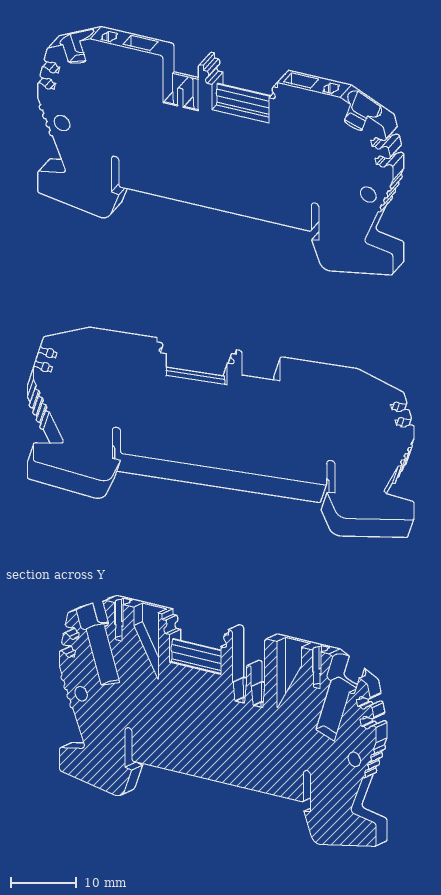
import cadquery as cq
import math

LENGTH = 59.5
THICKNESS = 4.1
HEIGHT = 31.2
HALF = LENGTH / 2
FRONT_Y = -THICKNESS / 2

TOP_HALF_LENGTH = 20.95
SHOULDER_ANGLE = 25.5
END_FACE_TILT = 13.2
END_FACE_BOTTOM_Z = 21.0
SHOULDER_CORNER_Z = 27.8
SHOULDER_FILLET = 0.7

WAIST_TOP_Z = 18.6
WAIST_X = 24.9
WAIST_Z = 6.5
WAIST_FILLET = 0.6

FOOT_ANGLE = 10.0
FOOT_NOSE_RADIUS = 1.8
FOOT_END_FILLET = 0.5
HOOK_ANGLE = 20.0
HOOK_TIP_X = 16.1
HOOK_TIP_Z = 4.75
HOOK_ROOT_Z = 5.0
BASE_Z = 6.2
BASE_FILLET = 0.4
SLIT_OUTER_X = 17.4
SLIT_INNER_X = 16.1
SLIT_TOP_Z = 11.4

RIDGE_COUNT = 4
RIDGE_FIRST_Z = 17.0
RIDGE_PITCH = 1.35
RIDGE_RADIUS = 0.5
RIDGE_INSET = 0.1

NOTCH_FIRST_Z = 24.95
NOTCH_PITCH = 3.05
NOTCH_COUNT = 2
NOTCH_MOUTH = 0.85
NOTCH_NECK = 0.55
NOTCH_NECK_DEPTH = 0.6
NOTCH_BULGE = 0.95
NOTCH_BULGE_DEPTH = 1.7
NOTCH_BULGE_HALF_LENGTH = 0.5
NOTCH_BULGE_STEP = 0.2
NOTCH_LIP_DEPTH = 0.2
NOTCH_LIP_RISE = 0.05
NOTCH_DEPTH = 2.75
NOTCH_OVERRUN = 0.6

WELL_LEFT_X = -8.75
WELL_RIGHT_X = -2.85
WELL_FLOOR_Z = 22.9
WELL_WALL_TOP_Z = 26.2
WELL_BACK_Y = 1.5
WELL_RIB_X = -5.85
WELL_RIB_WIDTH = 0.95
WELL_RIB_FILLET = 0.35
WELL_EDGE_FILLET = 0.55
CELL_FRONT_Y = -1.7
CELL_SIDE_MARGIN = 0.05
CELL_DEPTH = 3.0
CELL_DRAFT = 6.0
CELL_HOLE_LENGTH = 1.4
CELL_HOLE_WIDTH = 1.8
CELL_HOLE_Y = -0.1
CELL_HOLE_DEPTH = 1.8

CHANNEL_CENTER_X = 4.2
CHANNEL_HALF_FLOOR = 4.75
CHANNEL_FLOOR_Z = 23.7
CHANNEL_LEDGE_Z = 28.15
CHANNEL_STEP_Z = 30.3
BEAD_HEIGHT = 1.15
CHANNEL_HALF_TOP = 6.2
CHANNEL_HALF_LIP = 5.55
CHANNEL_HALF_CREST = 5.3
CHANNEL_HALF_GROOVE = 5.85
BLADE_TOP_Z = 27.2
BLADE_HEAD_TOP_Z = 26.35
BLADE_HEAD_Z = 25.8
BLADE_NECK_TOP_Z = 25.15
BLADE_FOOT_Z = 24.05
BLADE_HALF_TIP = 0.1
BLADE_HALF_NECK = 0.25
BLADE_HALF_HEAD = 0.5

ENTRY_AXIS_TILT = 18.5
ENTRY_CENTER_X = 24.1
ENTRY_HALF_LENGTH = 2.85
ENTRY_HALF_WIDTH = 2.45
ENTRY_BACK_Y = 1.65
ENTRY_DEPTH = 3.5
ENTRY_FLOOR_FILLET = 0.6
ENTRY_HOLE_LENGTH = 3.7
ENTRY_HOLE_WIDTH = 2.25
ENTRY_HOLE_Y = -0.2
ENTRY_HOLE_DEPTH = 8.9
ENTRY_HOLE_FILLET = 0.35
ENTRY_CLEARANCE = 3.0

TEST_HOLE_X = 18.55
TEST_HOLE_Y = -0.2
TEST_HOLE_DIAMETER = 2.2
TEST_SLOT_LENGTH = 1.55
TEST_SLOT_WIDTH = 2.7
TEST_HOLE_DEPTH = 5.95
TEST_SLOT_DEPTH = 3.55
LEVER_X = 13.45
LEVER_Y = 0.05
LEVER_LENGTH = 4.5
LEVER_WIDTH = 2.9
LEVER_WALL_DEPTH = 3.0
LEVER_DEPTH = 10.7

SIDE_HOLE_X = 25.65
SIDE_HOLE_Z = 15.1
SIDE_HOLE_MOUTH_DIAMETER = 2.6
SIDE_HOLE_END_DIAMETER = 2.2
SIDE_HOLE_DEPTH = 3.0


def tan(degrees):
    return math.tan(math.radians(degrees))


def sin(degrees):
    return math.sin(math.radians(degrees))


def cos(degrees):
    return math.cos(math.radians(degrees))


def both_ends(left_feature):
    """Add the mirror image of a left-end feature at the right end."""
    return left_feature.union(left_feature.mirror("YZ"))


def through_plate(outline):
    """Extrude a closed XZ outline over the whole plate thickness."""
    return outline.extrude(THICKNESS / 2, both=True)


def box(x_range, y_range, z_range):
    """Box between the given limits along each axis."""
    size = [high - low for low, high in (x_range, y_range, z_range)]
    corner = (x_range[0], y_range[0], z_range[0])
    return cq.Workplane("XY").box(*size, centered=False).translate(corner)


def fillet_at(body, x, z, radius):
    """Round the edge across the thickness that lies nearest to (x, z)."""
    corner = cq.selectors.NearestToPointSelector((x, 0, z))
    return body.edges("|Y").edges(corner).fillet(radius)


def end_face_x(z):
    """X of the tilted left end face at height z."""
    return -HALF + (z - END_FACE_BOTTOM_Z) * tan(END_FACE_TILT)


def shoulder_z(x):
    """Height of the sloping left shoulder at x."""
    return HEIGHT + (x + TOP_HALF_LENGTH) * tan(SHOULDER_ANGLE)


def waist_x(z):
    """X of the sloping left waist at height z."""
    slope = (HALF - WAIST_X) / (WAIST_TOP_Z - WAIST_Z)
    return -HALF + (WAIST_TOP_Z - z) * slope


def half_plate():
    radius = FOOT_NOSE_RADIUS
    flank_z = radius * (1 - sin(HOOK_ANGLE))
    flank_x = -HOOK_TIP_X - (HOOK_TIP_Z - flank_z) * tan(HOOK_ANGLE)
    nose_x = flank_x - radius * cos(HOOK_ANGLE)
    sole_x = nose_x - radius * sin(FOOT_ANGLE)
    sole_z = radius * (1 - cos(FOOT_ANGLE))
    foot_bottom_z = sole_z + (sole_x + HALF) * tan(FOOT_ANGLE)
    foot_top_z = WAIST_Z - (HALF - WAIST_X) * tan(FOOT_ANGLE)
    shoulder_x = end_face_x(SHOULDER_CORNER_Z)
    slit_radius = (SLIT_OUTER_X - SLIT_INNER_X) / 2
    slit_x = -(SLIT_OUTER_X + SLIT_INNER_X) / 2

    outline = (
        cq.Workplane("XZ")
        .moveTo(0, HEIGHT)
        .lineTo(-TOP_HALF_LENGTH, HEIGHT)
        .lineTo(shoulder_x, shoulder_z(shoulder_x))
        .lineTo(-HALF, END_FACE_BOTTOM_Z)
        .lineTo(-HALF, WAIST_TOP_Z)
        .lineTo(-WAIST_X, WAIST_Z)
        .lineTo(-HALF, foot_top_z)
        .lineTo(-HALF, foot_bottom_z)
        .lineTo(sole_x, sole_z)
        .threePointArc((nose_x, 0), (flank_x, flank_z))
        .lineTo(-HOOK_TIP_X, HOOK_TIP_Z)
        .lineTo(-SLIT_OUTER_X, HOOK_ROOT_Z)
        .lineTo(-SLIT_OUTER_X, SLIT_TOP_Z - slit_radius)
        .threePointArc((slit_x, SLIT_TOP_Z), (-SLIT_INNER_X, SLIT_TOP_Z - slit_radius))
        .lineTo(-SLIT_INNER_X, BASE_Z)
        .lineTo(0, BASE_Z)
        .close()
    )
    body = through_plate(outline)
    body = fillet_at(body, shoulder_x, SHOULDER_CORNER_Z, SHOULDER_FILLET)
    body = fillet_at(body, -WAIST_X, WAIST_Z, WAIST_FILLET)
    body = fillet_at(body, -HALF, foot_top_z, FOOT_END_FILLET)
    body = fillet_at(body, -HALF, foot_bottom_z, FOOT_END_FILLET)
    return fillet_at(body, -SLIT_INNER_X, BASE_Z, BASE_FILLET)


def ridges():
    heights = [RIDGE_FIRST_Z - i * RIDGE_PITCH for i in range(RIDGE_COUNT)]
    centers = [(waist_x(z) + RIDGE_INSET, z) for z in heights]
    return through_plate(cq.Workplane("XZ").pushPoints(centers).circle(RIDGE_RADIUS))


def notch():
    """Waisted slot running inward along +X from a mouth at the origin."""
    bulge_start = NOTCH_BULGE_DEPTH - NOTCH_BULGE_HALF_LENGTH
    bulge_end = NOTCH_BULGE_DEPTH + NOTCH_BULGE_HALF_LENGTH
    lip_middle = (NOTCH_LIP_DEPTH, NOTCH_NECK + NOTCH_LIP_RISE)
    upper_half = (
        cq.Workplane("XZ")
        .moveTo(-NOTCH_OVERRUN, 0)
        .lineTo(-NOTCH_OVERRUN, NOTCH_MOUTH)
        .lineTo(0, NOTCH_MOUTH)
        .threePointArc(lip_middle, (NOTCH_NECK_DEPTH, NOTCH_NECK))
        .lineTo(bulge_start, NOTCH_NECK + NOTCH_BULGE_STEP)
        .threePointArc((NOTCH_BULGE_DEPTH, NOTCH_BULGE), (bulge_end, NOTCH_NECK))
        .lineTo(NOTCH_DEPTH, NOTCH_NECK)
        .lineTo(NOTCH_DEPTH, 0)
        .close()
    )
    upper_half = through_plate(upper_half)
    return upper_half.union(upper_half.mirror("XY"))


def notches():
    tilted = notch().rotate((0, 0, 0), (0, 1, 0), END_FACE_TILT)
    cutters = cq.Workplane("XZ")
    for i in range(NOTCH_COUNT):
        z = NOTCH_FIRST_Z - i * NOTCH_PITCH
        cutters = cutters.union(tilted.translate((end_face_x(z), 0, z)))
    return cutters


def well():
    """Open well with a rear wall and a round-topped rib left standing in it."""
    y_range = (FRONT_Y, THICKNESS / 2)
    opening = box((WELL_LEFT_X, WELL_RIGHT_X), y_range, (WELL_FLOOR_Z, HEIGHT))
    rear_wall = box(
        (WELL_LEFT_X, WELL_RIGHT_X),
        (WELL_BACK_Y, THICKNESS / 2),
        (WELL_FLOOR_Z, WELL_WALL_TOP_Z),
    )
    half_rib = WELL_RIB_WIDTH / 2
    rib = box(
        (WELL_RIB_X - half_rib, WELL_RIB_X + half_rib),
        y_range,
        (WELL_FLOOR_Z, WELL_WALL_TOP_Z),
    )
    rib = rib.edges("|Y and >Z").fillet(WELL_RIB_FILLET)
    return opening.cut(rear_wall).cut(rib)


def cells():
    """Drafted pits in the well floor, each with a smaller hole in its bottom."""
    cell_length = (WELL_RIGHT_X - WELL_LEFT_X - WELL_RIB_WIDTH) / 2 - 2 * CELL_SIDE_MARGIN
    cell_width = WELL_BACK_Y - CELL_FRONT_Y
    cell_y = (WELL_BACK_Y + CELL_FRONT_Y) / 2
    spacing = (WELL_RIGHT_X - WELL_LEFT_X + WELL_RIB_WIDTH) / 4
    cutters = cq.Workplane("XY")
    for side in (-1, 1):
        x = WELL_RIB_X + side * spacing
        pit = (
            cq.Workplane("XY", origin=(x, cell_y, WELL_FLOOR_Z))
            .rect(cell_length, cell_width)
            .extrude(-CELL_DEPTH, taper=CELL_DRAFT)
        )
        hole = (
            cq.Workplane("XY", origin=(x, CELL_HOLE_Y, WELL_FLOOR_Z))
            .rect(CELL_HOLE_LENGTH, CELL_HOLE_WIDTH)
            .extrude(-CELL_DEPTH - CELL_HOLE_DEPTH)
        )
        cutters = cutters.union(pit).union(hole)
    return cutters


def channel():
    """Channel whose two side walls carry a snap bead above a groove."""
    crest_z = CHANNEL_STEP_Z - BEAD_HEIGHT / 2
    bead_end_z = CHANNEL_STEP_Z - BEAD_HEIGHT
    groove_z = (CHANNEL_LEDGE_Z + bead_end_z) / 2
    half = (
        cq.Workplane("XZ", origin=(CHANNEL_CENTER_X, 0, 0))
        .moveTo(0, CHANNEL_FLOOR_Z)
        .lineTo(-CHANNEL_HALF_FLOOR, CHANNEL_FLOOR_Z)
        .lineTo(-CHANNEL_HALF_FLOOR, CHANNEL_LEDGE_Z)
        .lineTo(-CHANNEL_HALF_LIP, CHANNEL_LEDGE_Z)
        .threePointArc((-CHANNEL_HALF_GROOVE, groove_z), (-CHANNEL_HALF_LIP, bead_end_z))
        .threePointArc((-CHANNEL_HALF_CREST, crest_z), (-CHANNEL_HALF_LIP, CHANNEL_STEP_Z))
        .lineTo(-CHANNEL_HALF_TOP, CHANNEL_STEP_Z)
        .lineTo(-CHANNEL_HALF_TOP, HEIGHT)
        .lineTo(0, HEIGHT)
        .close()
    )
    half = through_plate(half)
    return half.union(half.mirror("YZ", (CHANNEL_CENTER_X, 0, 0)))


def blade():
    """Bead-headed blade standing on the channel floor, running along X."""
    profile = (
        cq.Workplane("YZ", origin=(CHANNEL_CENTER_X, 0, 0))
        .moveTo(0, CHANNEL_FLOOR_Z)
        .lineTo(BLADE_HALF_HEAD, CHANNEL_FLOOR_Z)
        .lineTo(BLADE_HALF_NECK, BLADE_FOOT_Z)
        .lineTo(BLADE_HALF_NECK, BLADE_NECK_TOP_Z)
        .threePointArc((BLADE_HALF_HEAD, BLADE_HEAD_Z), (BLADE_HALF_NECK, BLADE_HEAD_TOP_Z))
        .lineTo(BLADE_HALF_TIP, BLADE_TOP_Z)
        .lineTo(0, BLADE_TOP_Z)
        .close()
    )
    half = profile.extrude(CHANNEL_HALF_FLOOR, both=True)
    return half.union(half.mirror("XZ"))


def wire_entry():
    """Tilted oval pocket that breaks out through the front face."""
    back_limit = box(
        (-2 * ENTRY_HALF_LENGTH, 2 * ENTRY_HALF_LENGTH),
        (-2 * ENTRY_HALF_WIDTH, ENTRY_BACK_Y),
        (-ENTRY_DEPTH, ENTRY_CLEARANCE),
    )
    pocket = (
        cq.Workplane("XY", origin=(0, 0, -ENTRY_DEPTH))
        .ellipse(ENTRY_HALF_LENGTH, ENTRY_HALF_WIDTH)
        .extrude(ENTRY_DEPTH + ENTRY_CLEARANCE)
        .faces("<Z")
        .edges()
        .fillet(ENTRY_FLOOR_FILLET)
        .intersect(back_limit)
    )
    hole = (
        cq.Workplane("XY", origin=(0, ENTRY_HOLE_Y, 0))
        .rect(ENTRY_HOLE_LENGTH, ENTRY_HOLE_WIDTH)
        .extrude(-ENTRY_DEPTH - ENTRY_HOLE_DEPTH)
        .edges("|Z")
        .fillet(ENTRY_HOLE_FILLET)
    )
    cutter = pocket.union(hole).rotate((0, 0, 0), (0, 1, 0), -ENTRY_AXIS_TILT)
    return cutter.translate((-ENTRY_CENTER_X, 0, shoulder_z(-ENTRY_CENTER_X)))


def test_hole():
    """Round hole crossed by a shallower slot across the plate."""
    top = cq.Workplane("XY", origin=(-TEST_HOLE_X, TEST_HOLE_Y, HEIGHT))
    hole = top.circle(TEST_HOLE_DIAMETER / 2).extrude(-TEST_HOLE_DEPTH)
    slot = top.rect(TEST_SLOT_LENGTH, TEST_SLOT_WIDTH).extrude(-TEST_SLOT_DEPTH)
    return hole.union(slot)


def lever_pocket():
    """Pocket with a sloping floor, deepest on the side toward the plate centre."""
    half_length = LEVER_LENGTH / 2
    return (
        cq.Workplane("XZ", origin=(-LEVER_X, LEVER_Y, HEIGHT))
        .moveTo(-half_length, 0)
        .lineTo(half_length, 0)
        .lineTo(half_length, -LEVER_DEPTH)
        .lineTo(-half_length, -LEVER_WALL_DEPTH)
        .close()
        .extrude(LEVER_WIDTH / 2, both=True)
    )


def side_hole():
    """Blind hole in the front face, narrowing with depth."""
    return (
        cq.Workplane("XZ", origin=(-SIDE_HOLE_X, FRONT_Y, SIDE_HOLE_Z))
        .circle(SIDE_HOLE_MOUTH_DIAMETER / 2)
        .workplane(offset=-SIDE_HOLE_DEPTH)
        .circle(SIDE_HOLE_END_DIAMETER / 2)
        .loft(combine=True)
    )


left_end = half_plate().union(ridges()).cut(notches())
for opening in (wire_entry(), test_hole(), lever_pocket(), side_hole()):
    left_end = left_end.cut(opening)

result = both_ends(left_end)
result = result.cut(well()).cut(channel())
for edge_x in (WELL_LEFT_X, WELL_RIGHT_X):
    result = fillet_at(result, edge_x, HEIGHT, WELL_EDGE_FILLET)
result = result.cut(cells()).union(blade())